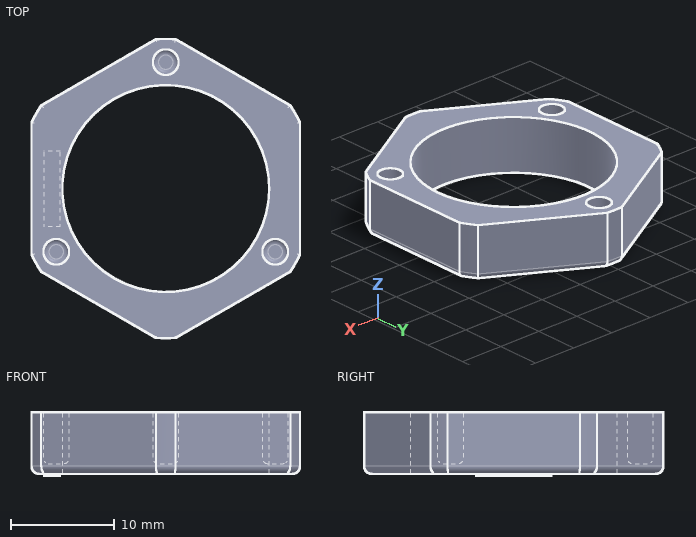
import cadquery as cq
import math

side_count = 6
across_corners = 29.0
across_flats = 26.0
ring_height = 6.0
bore_diameter = 20.0
bottom_edge_radius = 0.75

pocket_count = 3
pocket_diameter = 2.5
pocket_circle_radius = 12.25
pocket_floor = 1.0
pocket_floor_radius = 0.55

strip_width = 1.57
strip_length = 7.3
strip_height = 0.2
strip_center_x = -11.02


def ring_body():
    """Hexagonal ring with trimmed corners and a rounded outer bottom edge."""
    hexagon_diameter = across_flats / math.cos(math.pi / side_count)
    hexagon = (
        cq.Workplane("XY")
        .polygon(side_count, hexagon_diameter)
        .extrude(ring_height)
        .rotate((0, 0, 0), (0, 0, 1), 180 / side_count)
    )
    trimming_cylinder = cq.Workplane("XY").circle(across_corners / 2).extrude(ring_height)
    outline = trimming_cylinder.intersect(hexagon)
    rounded = outline.faces("<Z").edges().fillet(bottom_edge_radius)
    bore = cq.Workplane("XY").circle(bore_diameter / 2).extrude(ring_height)
    return rounded.cut(bore)


def pockets():
    """Round-bottomed pocket volumes, the first one on the +Y axis."""
    pocket_depth = ring_height - pocket_floor
    return (
        cq.Workplane("XY", origin=(0, 0, pocket_floor))
        .polarArray(pocket_circle_radius, 90, 360, pocket_count)
        .circle(pocket_diameter / 2)
        .extrude(pocket_depth)
        .faces("<Z")
        .edges()
        .fillet(pocket_floor_radius)
    )


def raised_strip():
    """Plain strip that stands below the bottom face."""
    return (
        cq.Workplane("XY", origin=(strip_center_x, 0, 0))
        .rect(strip_width, strip_length)
        .extrude(-strip_height)
    )


result = ring_body().cut(pockets()).union(raised_strip())